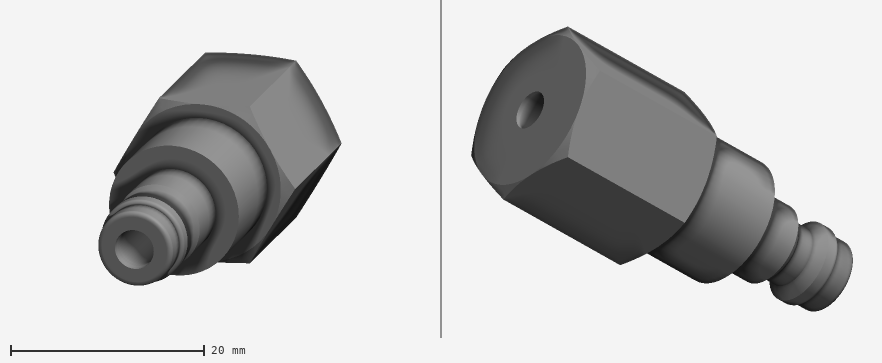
import cadquery as cq
import math

total_length = 42.0
hex_length = 17.98
across_flats = 17.0
across_corners = across_flats / math.cos(math.radians(30))
corner_chamfer_angle = 30.0

collar_diameter = 14.03
collar_length = 10.0
stem_diameter = 9.0
stem_length = 5.63
neck_diameter = 6.7
neck_length = 1.97
cone_length = (stem_diameter - neck_diameter) / 2
nose_diameter = 8.05
nose_length = 2.6
nose_rounding = 0.5
rim_rounding = (stem_diameter - nose_diameter) / 2
bore_diameter = 4.2

hex_front = total_length - hex_length
collar_front = hex_front - collar_length
stem_front = collar_front - stem_length
neck_back = stem_front - cone_length
neck_front = neck_back - neck_length
rim_back = neck_front - cone_length


def revolve_about_y(profile):
    return profile.close().revolve(360, (0, 0, 0), (0, 1, 0))


def make_hex_body():
    """Hexagonal prism whose corners are turned down to a cone at both ends."""
    prism = (
        cq.Workplane("XZ", origin=(0, total_length, 0))
        .polygon(6, across_corners)
        .extrude(hex_length)
    )
    flat_radius = across_flats / 2
    corner_radius = across_corners / 2
    chamfer_length = (corner_radius - flat_radius) * math.tan(math.radians(corner_chamfer_angle))
    turned_envelope = revolve_about_y(
        cq.Workplane("XY")
        .moveTo(0, hex_front)
        .lineTo(flat_radius, hex_front)
        .lineTo(corner_radius, hex_front + chamfer_length)
        .lineTo(corner_radius, total_length - chamfer_length)
        .lineTo(flat_radius, total_length)
        .lineTo(0, total_length)
    )
    return prism.intersect(turned_envelope)


def make_plug():
    """Turned collar, stem, locking groove, rim and rounded nose."""
    nose_radius = nose_diameter / 2
    stem_radius = stem_diameter / 2
    neck_radius = neck_diameter / 2
    collar_radius = collar_diameter / 2
    return revolve_about_y(
        cq.Workplane("XY")
        .moveTo(0, 0)
        .lineTo(nose_radius - nose_rounding, 0)
        .radiusArc((nose_radius, nose_rounding), -nose_rounding)
        .lineTo(nose_radius, nose_length)
        .radiusArc((stem_radius, nose_length + rim_rounding), -rim_rounding)
        .lineTo(stem_radius, rim_back)
        .lineTo(neck_radius, neck_front)
        .lineTo(neck_radius, neck_back)
        .lineTo(stem_radius, stem_front)
        .lineTo(stem_radius, collar_front)
        .lineTo(collar_radius, collar_front)
        .lineTo(collar_radius, hex_front)
        .lineTo(0, hex_front)
    )


bore = (
    cq.Workplane("XZ", origin=(0, total_length, 0))
    .circle(bore_diameter / 2)
    .extrude(total_length)
)
result = make_hex_body().union(make_plug()).cut(bore)